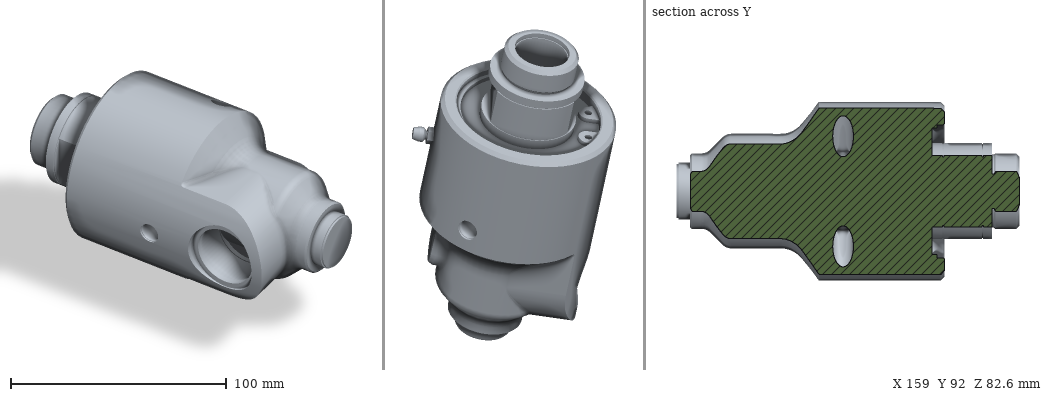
import cadquery as cq
import math


thread_r = 17.5
thread_end = 12.0
thread_chamfer = 1.6
thread_runout = 0.6
relief_r = 16.9
collar_start = 12.9
collar_end = 17.0
shaft_r = 22.3
groove_r = 21.8
shaft_start = 17.5
shaft_end = 35.8
end_groove_width = 0.5
flat_half_width = 18.0
bore_r = 25.0 / 2
bore_mouth_r = 12.9
bore_mouth_depth = 2.4

barrel_start = 34.8
barrel_end = 93.0
barrel_r = 41.3
barrel_chamfer = 1.7
bore_end = barrel_end

recess_r = 34.0
recess_chamfer = 0.6
recess_floor = 40.5
ring_thickness = 2.2
ring_inner_r = 33.5
ring_offset = 1.9
lug_y = -28.5
lug_z = 9.5
lug_r = 4.6
lug_hole_d = 3.5

flare_angle = math.radians(52)
flare_fillet_r = 12.7
neck_r = 26.5
shoulder_start = 133.5
shoulder_angle = math.radians(45)
shoulder_fillet_r = 5.7
flange_r = 17.5
flange_end = 152.6
flange_chamfer = 0.8
plug_r = 13.2
plug_end = 158.0
plug_cap_r = 12.5
total_length = 159.0

core_r = 19.0

arm_half_height = 26.2
arm_root_x = 87.5
arm_center_x = 117.5
arm_fillet_r = 2.4
arm_seam_point = (arm_center_x + arm_half_height, -flange_r, 0)
port_x = 120.7
port_r = 14.8
port_step_y = -19.0
port_end_r = 14.3
core_half_width_in_port = 8.9
port_floor_y = -math.sqrt(core_r**2 - core_half_width_in_port**2)
counterbore_r = 17.5
counterbore_y = -36.9

pad_y = 31.5
pad_half_width = 9.9
pad_bevel_drop = 2.0
pad_bevel_width = 1.1
pad_fillet_r = 2.5
pad_seam_x = 112.9
pad_seam_point = (pad_seam_x, neck_r, pad_half_width)

radial_hole_x = 81.9
radial_hole_d = 9.4
radial_mouth_d = 9.9
radial_mouth_y = -40.4
radial_hole_count = 3
nipple_x = 57.0
nipple_root_y = 39.7
nipple_tip_y = 50.7
nipple_hex_width = 7.0
nipple_hex_y = 44.0
nipple_neck_r = 2.0
nipple_neck_y = 44.7
nipple_bead_r = 3.5
nipple_bead_start_y = 46.0
nipple_bead_end_y = 47.9
nipple_tip_r = 2.7


def x_cylinder(radius, start, end):
    return cq.Workplane("YZ", origin=(start, 0, 0)).circle(radius).extrude(end - start)


def y_plane(y):
    """Sketch plane facing -Y at the given y: local x is X, local y is Z."""
    return cq.Workplane("XZ", origin=(0, y, 0))


def make_shaft():
    shaft = x_cylinder(thread_r, 0, thread_end).faces("<X").chamfer(thread_chamfer)
    shaft = shaft.faces(">X").chamfer(thread_runout)
    shaft = shaft.union(x_cylinder(relief_r, thread_end, collar_start))
    shaft = shaft.union(x_cylinder(shaft_r, collar_start, collar_end))
    shaft = shaft.union(x_cylinder(groove_r, collar_end, shaft_start))
    flatted = x_cylinder(shaft_r, shaft_start, shaft_end)
    end_groove_start = shaft_end - end_groove_width
    end_groove = x_cylinder(shaft_r, end_groove_start, shaft_end)
    end_groove = end_groove.cut(x_cylinder(groove_r, end_groove_start, shaft_end))
    flatted = flatted.cut(end_groove)
    flat_length = shaft_end - shaft_start
    flats = cq.Workplane("XY").box(flat_length, 2 * flat_half_width, 2 * shaft_r, centered=(False, True, True))
    flatted = flatted.intersect(flats.translate((shaft_start, 0, 0)))
    root = x_cylinder(shaft_r, shaft_end, recess_floor)
    return shaft.union(flatted).union(root)


def make_barrel_and_neck():
    """Revolved outline of the barrel, flare, neck, shoulder and end flange."""
    flare_drop = flare_fillet_r * (1 - math.cos(flare_angle))
    flare_r = neck_r + flare_drop
    flare_x = barrel_end + (barrel_r - flare_r) / math.tan(flare_angle)
    neck_x = flare_x + flare_fillet_r * math.sin(flare_angle)
    half_flare = flare_angle / 2
    flare_mid = (
        neck_x - flare_fillet_r * math.sin(half_flare),
        neck_r + flare_fillet_r * (1 - math.cos(half_flare)),
    )

    arc_run = shoulder_fillet_r * math.sin(shoulder_angle)
    arc_drop = shoulder_fillet_r * (1 - math.cos(shoulder_angle))
    mid_run = shoulder_fillet_r * math.sin(shoulder_angle / 2)
    mid_drop = shoulder_fillet_r * (1 - math.cos(shoulder_angle / 2))
    cone_x = shoulder_start + arc_run
    cone_r = neck_r - arc_drop
    foot_r = flange_r + arc_drop
    foot_x = cone_x + (cone_r - foot_r) / math.tan(shoulder_angle)
    flange_x = foot_x + arc_run

    outline = (
        cq.Workplane("XY")
        .moveTo(barrel_start, 0)
        .lineTo(barrel_start, barrel_r - barrel_chamfer)
        .lineTo(barrel_start + barrel_chamfer, barrel_r)
        .lineTo(barrel_end, barrel_r)
        .lineTo(flare_x, flare_r)
        .threePointArc(flare_mid, (neck_x, neck_r))
        .lineTo(shoulder_start, neck_r)
        .threePointArc((shoulder_start + mid_run, neck_r - mid_drop), (cone_x, cone_r))
        .lineTo(foot_x, foot_r)
        .threePointArc((flange_x - mid_run, flange_r + mid_drop), (flange_x, flange_r))
        .lineTo(flange_end - flange_chamfer, flange_r)
        .lineTo(flange_end, flange_r - flange_chamfer)
        .lineTo(flange_end, 0)
        .close()
    )
    return outline.revolve(360, (0, 0, 0), (1, 0, 0))


def make_arm():
    """Round-ended arm whose outer face continues the barrel cylinder."""
    arm = (
        y_plane(0)
        .moveTo(arm_root_x, -arm_half_height)
        .lineTo(arm_center_x, -arm_half_height)
        .threePointArc((arm_center_x + arm_half_height, 0), (arm_center_x, arm_half_height))
        .lineTo(arm_root_x, arm_half_height)
        .close()
        .extrude(barrel_r)
    )
    return arm.intersect(x_cylinder(barrel_r, barrel_start, total_length))


def add_blended(body, boss, seam_point, fillet_r):
    """Fuse a boss and fillet its tangent-continuous seam through the edge nearest seam_point."""
    fused = body.union(boss)
    return fused.edges(cq.NearestToPointSelector(seam_point)).fillet(fillet_r)


def make_pad():
    pad = (
        y_plane(pad_y)
        .moveTo(barrel_end, -pad_half_width)
        .lineTo(arm_center_x, -pad_half_width)
        .threePointArc((arm_center_x + pad_half_width, 0), (arm_center_x, pad_half_width))
        .lineTo(barrel_end, pad_half_width)
        .close()
        .extrude(pad_y)
    )
    return pad.faces(">Y").chamfer(pad_bevel_drop, pad_bevel_width)


def cut_recess(body):
    recess = x_cylinder(recess_r, barrel_start, recess_floor)
    mouth = (
        cq.Workplane("YZ", origin=(barrel_start, 0, 0))
        .circle(recess_r + recess_chamfer)
        .extrude(recess_chamfer, taper=45)
    )
    return body.cut(recess).cut(mouth)


def make_retaining_ring():
    """Ring that narrows toward -Y and ends in two drilled lugs."""
    ring_start = recess_floor - ring_thickness
    blank = x_cylinder(recess_r, ring_start, recess_floor)
    ring = blank.cut(x_cylinder(ring_inner_r, ring_start, recess_floor).translate((0, -ring_offset, 0)))
    for side in (1, -1):
        plane = cq.Workplane("YZ", origin=(ring_start, 0, 0))
        eye = plane.center(lug_y, side * lug_z).circle(lug_r).extrude(ring_thickness)
        inner_edge = side * (lug_z - lug_r)
        outer_edge = side * (lug_z + lug_r)
        web = (
            plane.moveTo(lug_y, inner_edge)
            .lineTo(-recess_r, inner_edge)
            .lineTo(-recess_r, outer_edge + side * lug_r)
            .lineTo(lug_y, outer_edge)
            .close()
            .extrude(ring_thickness)
        )
        hole = plane.center(lug_y, side * lug_z).circle(lug_hole_d / 2).extrude(ring_thickness)
        ring = ring.union(eye.union(web).intersect(blank)).cut(hole)
    return ring


def cut_bores(body):
    """Blind axial bore and the stepped side port, which stops at the core."""
    body = body.cut(x_cylinder(bore_r, 0, bore_end))
    body = body.cut(x_cylinder(bore_mouth_r, 0, bore_mouth_depth))
    port_end = y_plane(port_floor_y).center(port_x, 0).circle(port_end_r).extrude(barrel_r)
    port = y_plane(port_step_y).center(port_x, 0).circle(port_r).extrude(barrel_r).union(port_end)
    port = port.cut(x_cylinder(core_r, 0, total_length))
    counterbore = y_plane(counterbore_y).center(port_x, 0).circle(counterbore_r).extrude(barrel_r)
    return body.cut(port).cut(counterbore)


def cut_radial_holes(body):
    core = x_cylinder(core_r, 0, total_length)
    for index in range(radial_hole_count):
        hole = y_plane(0).center(radial_hole_x, 0).circle(radial_hole_d / 2).extrude(barrel_r).cut(core)
        mouth = y_plane(radial_mouth_y).center(radial_hole_x, 0).circle(radial_mouth_d / 2).extrude(barrel_r)
        hole = hole.union(mouth)
        body = body.cut(hole.rotate((0, 0, 0), (1, 0, 0), index * 360 / radial_hole_count))
    return body


def make_nipple():
    hexagon = (
        y_plane(nipple_hex_y)
        .center(nipple_x, 0)
        .polygon(6, nipple_hex_width, circumscribed=True)
        .extrude(nipple_hex_y - nipple_root_y)
    )
    head = (
        cq.Workplane("XY", origin=(nipple_x, 0, 0))
        .moveTo(0, nipple_root_y)
        .lineTo(nipple_neck_r, nipple_root_y)
        .lineTo(nipple_neck_r, nipple_neck_y)
        .lineTo(nipple_bead_r, nipple_bead_start_y)
        .lineTo(nipple_bead_r, nipple_bead_end_y)
        .lineTo(nipple_tip_r, nipple_tip_y)
        .lineTo(0, nipple_tip_y)
        .close()
        .revolve(360, (0, 0, 0), (0, 1, 0))
    )
    return hexagon.union(head)


def make_end_plug():
    plug = x_cylinder(plug_r, flange_end, plug_end)
    return plug.union(x_cylinder(plug_cap_r, plug_end, total_length))


body = make_barrel_and_neck()
body = add_blended(body, make_arm(), arm_seam_point, arm_fillet_r)
body = add_blended(body, make_pad(), pad_seam_point, pad_fillet_r)
body = cut_recess(body)
body = body.union(make_retaining_ring()).union(make_shaft())
body = cut_bores(body)
body = cut_radial_holes(body)
result = body.union(make_nipple()).union(make_end_plug())